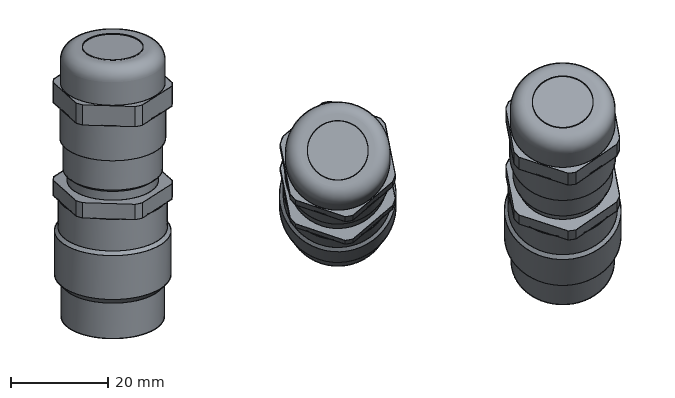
import cadquery as cq

spigot_top = 8.1
collar_bottom = 9.6
collar_top = 19.6
sleeve_bottom = 20.3
lower_hex_bottom = 27.5
lower_hex_top = 31.0
neck_top = 33.0
insert_bottom = 33.7
skirt_bottom = 40.7
upper_hex_bottom = 48.7
upper_hex_top = 53.3
total_height = 61.5

spigot_diameter = 21.3
collar_diameter = 24.0
sleeve_diameter = 22.5
neck_diameter = 18.8
insert_diameter = 20.5
skirt_diameter = 21.8
cap_diameter = 21.55

cap_edge_radius = 3.0
recess_diameter = 12.5
recess_depth = 0.2

hex_across_flats = 22.0
hex_corner_diameter = 24.5


def cylinder(diameter, bottom, top):
    """Round section on the Z axis between two heights."""
    return cq.Workplane("XY").workplane(offset=bottom).circle(diameter / 2).extrude(top - bottom)


def cone(bottom_diameter, top_diameter, bottom, top):
    """Tapered section on the Z axis between two heights."""
    return (
        cq.Workplane("XY")
        .workplane(offset=bottom)
        .circle(bottom_diameter / 2)
        .workplane(offset=top - bottom)
        .circle(top_diameter / 2)
        .loft()
    )


def wrench_grip(bottom, top):
    """Hexagon with corners on the Y axis, trimmed by a coaxial cylinder."""
    hexagon = (
        cq.Workplane("XY")
        .workplane(offset=bottom)
        .polygon(6, hex_across_flats, circumscribed=True)
        .extrude(top - bottom)
    )
    return hexagon.intersect(cylinder(hex_corner_diameter, bottom, top))


def lower_body():
    """Bottom spigot, chamfered collar and sleeve."""
    body = cylinder(spigot_diameter, 0, spigot_top)
    body = body.union(cone(spigot_diameter, collar_diameter, spigot_top, collar_bottom))
    body = body.union(cylinder(collar_diameter, collar_bottom, collar_top))
    body = body.union(cone(collar_diameter, sleeve_diameter, collar_top, sleeve_bottom))
    return body.union(cylinder(sleeve_diameter, sleeve_bottom, lower_hex_bottom))


def upper_body():
    """Neck, chamfered insert and the skirt of the cap."""
    body = cylinder(neck_diameter, lower_hex_top, neck_top)
    body = body.union(cone(neck_diameter, insert_diameter, neck_top, insert_bottom))
    body = body.union(cylinder(insert_diameter, insert_bottom, skirt_bottom))
    return body.union(cylinder(skirt_diameter, skirt_bottom, upper_hex_bottom))


def cap():
    """Domed cap with a shallow round recess in its flat top."""
    body = cylinder(cap_diameter, upper_hex_top, total_height)
    body = body.faces(">Z").edges().fillet(cap_edge_radius)
    return body.cut(cylinder(recess_diameter, total_height - recess_depth, total_height))


result = (
    lower_body()
    .union(wrench_grip(lower_hex_bottom, lower_hex_top))
    .union(upper_body())
    .union(wrench_grip(upper_hex_bottom, upper_hex_top))
    .union(cap())
)